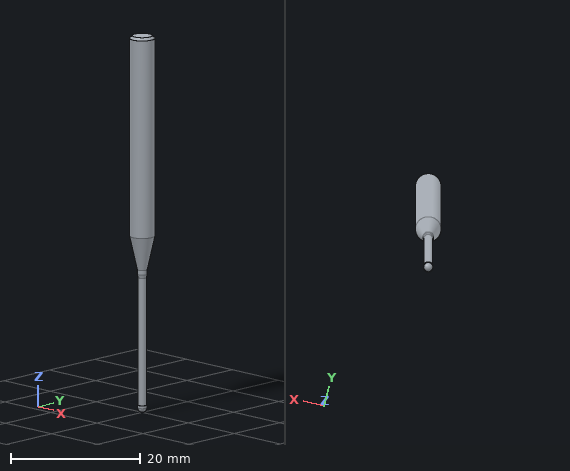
import cadquery as cq
import math

total_length = 60.0
shank_diameter = 4.0
shank_bottom = 28.15
shank_chamfer = 0.4
cone_bottom = 22.75
collar_bottom = 22.0
neck_top = 21.5
collar_diameter = 1.6
neck_diameter = 1.4
ball_diameter = 1.5
head_height = 1.2

shank_radius = shank_diameter / 2
neck_radius = neck_diameter / 2
ball_radius = ball_diameter / 2
collar_radius = collar_diameter / 2


def make_holder():
    """Shank, cone, collar and neck, turned about Z above the cutting head."""
    return (
        cq.Workplane("XZ")
        .moveTo(0, head_height)
        .lineTo(neck_radius, head_height)
        .lineTo(neck_radius, neck_top)
        .lineTo(collar_radius, collar_bottom)
        .lineTo(collar_radius, cone_bottom)
        .lineTo(shank_radius, shank_bottom)
        .lineTo(shank_radius, total_length - shank_chamfer)
        .lineTo(shank_radius - shank_chamfer, total_length)
        .lineTo(0, total_length)
        .close()
        .revolve(360, (0, 0), (0, 1))
    )


def make_cutting_head():
    """Short cylinder ending in a hemispherical tip at the origin."""
    arc_middle = ball_radius * math.sqrt(0.5)
    return (
        cq.Workplane("XZ")
        .moveTo(0, 0)
        .threePointArc((arc_middle, ball_radius - arc_middle), (ball_radius, ball_radius))
        .lineTo(ball_radius, head_height)
        .lineTo(0, head_height)
        .close()
        .revolve(360, (0, 0), (0, 1))
    )


holder = make_holder()
cutting_head = make_cutting_head()

result = cq.Compound.makeCompound([holder.val(), cutting_head.val()])